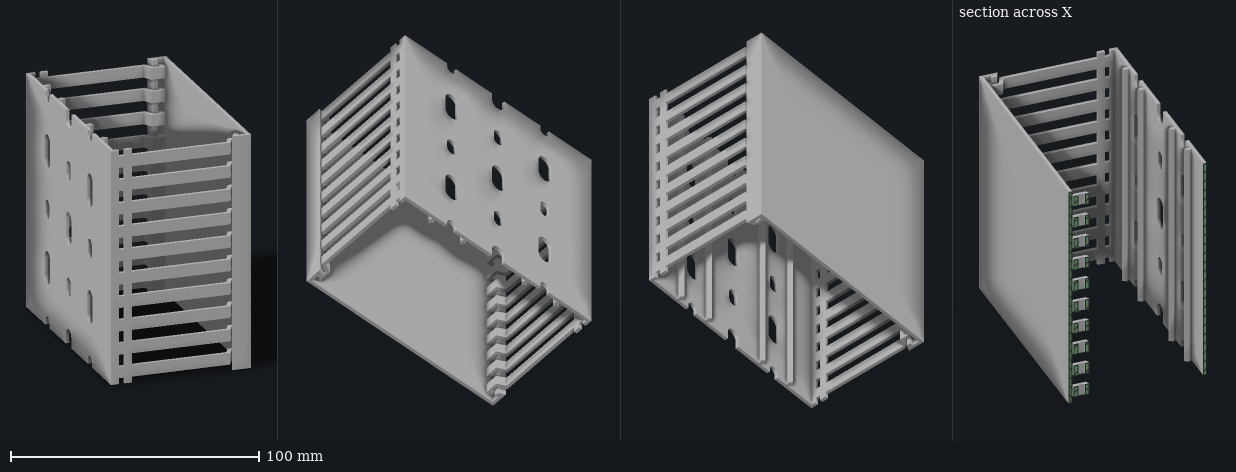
import cadquery as cq

width = 100.0
depth = 60.0
length = 100.0
wall = 1.5

half_width = width / 2
front_y = -depth / 2
back_y = depth / 2
inner_x = half_width - wall
floor_y = front_y + wall

hook_slope = 0.5
shoulder_y = 21.1
hook_top_y = 27.8
hook_depth = 5.3
hook_face_x = half_width - hook_depth
hook_plate = 1.2
hook_recess_x = hook_face_x + hook_plate
hook_bar = 1.9
hook_tip_x = 48.2
inner_shoulder_y = 20.0

lip_edge_y = 22.0
lip_shelf_y = 25.4
lip_x = 47.0

finger_pitch = 10.0
opening_height = 5.0
opening_start_y = -21.1
opening_end_y = back_y
window_start_y = -26.5
window_end_y = -24.2

rail_positions = (-33.5, -16.5, 16.5, 33.5)
rail_stem = 1.4
barb_width = 2.7
barb_y = -27.3
rail_tip_y = -25.4

slot_pitch = 25.0
slot_columns = (-1, 0, 1)
slot_rows = (-2, -1, 0, 1, 2)
large_slot_length = 14.2
large_slot_width = 6.5
small_slot_length = 8.2
small_slot_width = 4.7


def extrude_profile(points):
    """Extrude a closed XY outline over the full length, centred on Z = 0."""
    return cq.Workplane("XY").polyline(points).close().extrude(length / 2, both=True)


def mirrored_outline(right_half):
    """Complete an outline from its +X half, listed from one end to the other."""
    left_half = [(-x, y) for x, y in reversed(right_half)]
    return right_half + left_half


def slope_rise(outer_x, near_x):
    """Height gained along the hook slope between two X positions."""
    return hook_slope * (outer_x - near_x)


def duct_shell():
    """U-shaped channel whose side walls step inwards and end in hooks."""
    recess_y = shoulder_y + slope_rise(half_width, hook_recess_x)
    face_y = inner_shoulder_y + slope_rise(inner_x, hook_face_x)
    return extrude_profile(mirrored_outline([
        (half_width, front_y),
        (half_width, shoulder_y),
        (hook_recess_x, recess_y),
        (hook_recess_x, hook_top_y - hook_bar),
        (hook_tip_x, hook_top_y - hook_bar),
        (hook_tip_x, hook_top_y),
        (hook_face_x, hook_top_y),
        (hook_face_x, face_y),
        (inner_x, inner_shoulder_y),
        (inner_x, floor_y),
    ]))


def barbed_rail(x):
    """Arrow-headed rail standing on the floor; its foot sinks into the floor to fuse."""
    foot_y = floor_y - wall / 2
    return extrude_profile([
        (x - rail_stem / 2, foot_y),
        (x + rail_stem / 2, foot_y),
        (x + rail_stem / 2, barb_y),
        (x + barb_width / 2, barb_y),
        (x, rail_tip_y),
        (x - barb_width / 2, barb_y),
        (x - rail_stem / 2, barb_y),
    ])


def side_cutter(start_y, end_y, z):
    """Block that cuts one opening through both side walls."""
    return (
        cq.Workplane("XY")
        .box(width, end_y - start_y, opening_height)
        .translate((0, (start_y + end_y) / 2, z))
    )


def mounting_slot(column, row):
    """Cutter for one floor slot; large and small slots alternate like a chessboard."""
    is_large = (column + row) % 2 == 0
    slot_length = large_slot_length if is_large else small_slot_length
    slot_width = large_slot_width if is_large else small_slot_width
    return (
        cq.Workplane("XZ", origin=(column * slot_pitch, front_y, row * slot_pitch))
        .slot2D(slot_length, slot_width, 90)
        .extrude(-wall)
    )


def build_duct():
    """Channel with fingered side walls, barbed floor rails and mounting slots."""
    duct = duct_shell()
    finger_count = round(length / finger_pitch)
    for index in range(finger_count + 1):
        z = index * finger_pitch - length / 2
        duct = duct.cut(side_cutter(opening_start_y, opening_end_y, z))
        duct = duct.cut(side_cutter(window_start_y, window_end_y, z))
    for x in rail_positions:
        duct = duct.union(barbed_rail(x))
    for column in slot_columns:
        for row in slot_rows:
            duct = duct.cut(mounting_slot(column, row))
    return duct


def build_cover():
    """Flat cover with short sides that end in wedge-shaped snap lips."""
    return extrude_profile(mirrored_outline([
        (half_width, back_y),
        (half_width, lip_edge_y),
        (lip_x, lip_edge_y + slope_rise(half_width, lip_x)),
        (lip_x, lip_shelf_y),
        (inner_x, lip_shelf_y),
        (inner_x, back_y - wall),
    ]))


duct = build_duct()
cover = build_cover()

result = cq.Compound.makeCompound([duct.val(), cover.val()])